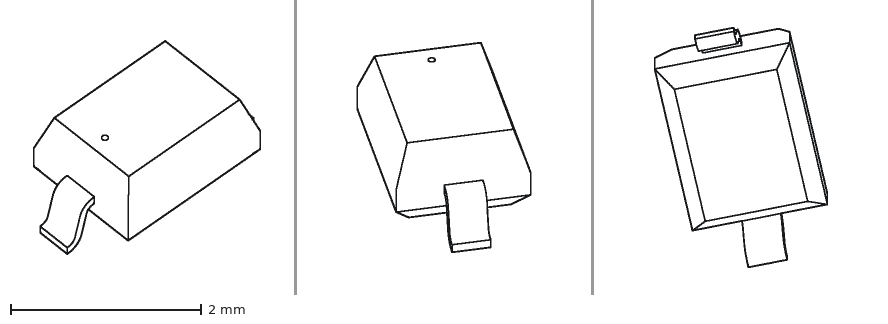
import cadquery as cq
import math

OVERALL_LENGTH = 2.69
TOP_Z = 1.09

BODY_WIDTH = 1.45
BODY_LENGTH = 1.905
BASE_Z = 0.105
BELT_BOTTOM_Z = 0.325
BELT_TOP_Z = 0.608
TOP_INSET = 0.153
BASE_INSET = 0.175

LEAD_WIDTH = 0.417
LEAD_THICKNESS = 0.1
LEAD_TOP_Z = 0.595
LEAD_LEAN = 15.0
INNER_RADIUS = LEAD_THICKNESS
OUTER_RADIUS = INNER_RADIUS + LEAD_THICKNESS
LEAD_REACH = (OVERALL_LENGTH - BODY_LENGTH) / 2

MARK_DIAMETER = 0.073
MARK_DEPTH = 0.027
MARK_Y = -0.605


def make_frustum(bottom_z, bottom_inset, top_z, top_inset):
    """Rectangular loft whose ends are inset from the belt outline."""
    return (
        cq.Workplane("XY", origin=(0, 0, bottom_z))
        .rect(BODY_WIDTH - 2 * bottom_inset, BODY_LENGTH - 2 * bottom_inset)
        .workplane(offset=top_z - bottom_z)
        .rect(BODY_WIDTH - 2 * top_inset, BODY_LENGTH - 2 * top_inset)
        .loft(ruled=True)
    )


def make_mark():
    """Round disc whose upper face lies in the top of the housing."""
    return (
        cq.Workplane("XY", origin=(0, MARK_Y, TOP_Z - MARK_DEPTH))
        .circle(MARK_DIAMETER / 2)
        .extrude(MARK_DEPTH)
    )


def make_housing(mark):
    """Belt, base and cap in one solid, with a recess for the mark."""
    base = make_frustum(BASE_Z, BASE_INSET, BELT_BOTTOM_Z, 0)
    belt = make_frustum(BELT_BOTTOM_Z, 0, BELT_TOP_Z, 0)
    cap = make_frustum(BELT_TOP_Z, 0, TOP_Z, TOP_INSET)
    return base.union(belt).union(cap).cut(mark)


def arc_point(center, radius, degrees):
    """Point on a circle in the plane of the lead profile."""
    angle = math.radians(degrees)
    return (
        center[0] + radius * math.cos(angle),
        center[1] + radius * math.sin(angle),
    )


def make_lead():
    """S-shaped lead on the +Y end, its root against the housing face."""
    lean = math.radians(LEAD_LEAN)
    bend_drop = LEAD_TOP_Z - 2 * OUTER_RADIUS
    bend_spacing = (OUTER_RADIUS + INNER_RADIUS + bend_drop * math.sin(lean)) / math.cos(lean)
    flat_length = (LEAD_REACH - bend_spacing) / 2

    root_y = BODY_LENGTH / 2
    tip_y = root_y + LEAD_REACH
    upper = (root_y + flat_length, LEAD_TOP_Z - OUTER_RADIUS)
    lower = (tip_y - flat_length, OUTER_RADIUS)

    upper_flat, upper_leg = 90, LEAD_LEAN
    upper_middle = (upper_flat + upper_leg) / 2
    lower_flat, lower_leg = upper_flat + 180, upper_leg + 180
    lower_middle = upper_middle + 180

    return (
        cq.Workplane("YZ", origin=(-LEAD_WIDTH / 2, 0, 0))
        .moveTo(root_y, LEAD_TOP_Z)
        .lineTo(*arc_point(upper, OUTER_RADIUS, upper_flat))
        .threePointArc(
            arc_point(upper, OUTER_RADIUS, upper_middle),
            arc_point(upper, OUTER_RADIUS, upper_leg),
        )
        .lineTo(*arc_point(lower, INNER_RADIUS, lower_leg))
        .threePointArc(
            arc_point(lower, INNER_RADIUS, lower_middle),
            arc_point(lower, INNER_RADIUS, lower_flat),
        )
        .lineTo(tip_y, LEAD_THICKNESS)
        .lineTo(tip_y, 0)
        .lineTo(*arc_point(lower, OUTER_RADIUS, lower_flat))
        .threePointArc(
            arc_point(lower, OUTER_RADIUS, lower_middle),
            arc_point(lower, OUTER_RADIUS, lower_leg),
        )
        .lineTo(*arc_point(upper, INNER_RADIUS, upper_leg))
        .threePointArc(
            arc_point(upper, INNER_RADIUS, upper_middle),
            arc_point(upper, INNER_RADIUS, upper_flat),
        )
        .lineTo(root_y, LEAD_TOP_Z - LEAD_THICKNESS)
        .close()
        .extrude(LEAD_WIDTH)
    )


mark = make_mark()
housing = make_housing(mark)
leads = [make_lead().rotate((0, 0, 0), (0, 0, 1), turn) for turn in (0, 180)]

result = cq.Compound.makeCompound(
    [housing.solids().val(), mark.val(), *[lead.val() for lead in leads]]
)